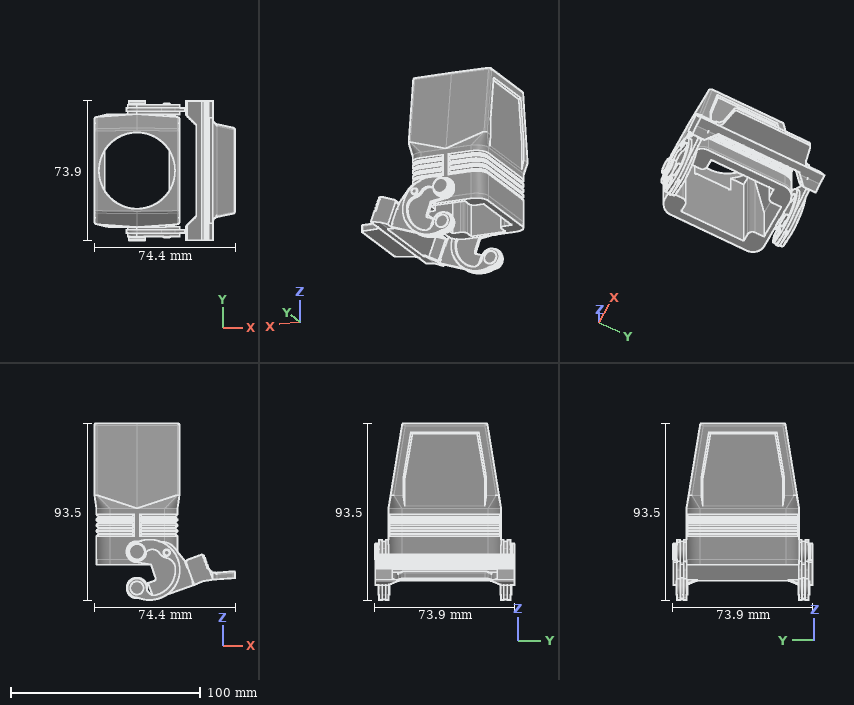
import cadquery as cq
import math

SKIRT_HALF_X = 21.5
SKIRT_HALF_Y = 29.8
SKIRT_CORNER_R = 7.0
SKIRT_TOP = 29.8
DRAFT_HEIGHT = 2.8
DRAFT_ANGLE = 3.0

GROOVE_COUNT = 4
GROOVE_BOTTOM = 14.85
GROOVE_PITCH = 2.97
GROOVE_FLOOR = 0.7
GROOVE_DEPTH = 0.95
GROOVE_FLANK_ANGLE = 45
GROOVES_TOP = GROOVE_BOTTOM + GROOVE_COUNT * GROOVE_PITCH
RIB_HALF_WIDTH = 1.45

HOOD_TOP = 74.8
HOOD_BOTTOM = 36.8
HOOD_HALF_X = 22.5
HOOD_FILLET = 1.3
CORNER_TOP_Y = 22.1
CORNER_BOTTOM_Y = 28.3

PANEL_DEPTH = 0.8
PANEL_BOTTOM = 31.0
PANEL_KNEE = 45.5
PANEL_TOP = 70.0
PANEL_HALF_TOP = 17.95
PANEL_HALF_BOTTOM = 22.0
PANEL_WALL = 0.9

BORE_R = 20.1
BORE_DEPTH = 20.0
ROOF_THICKNESS = 6.0
CAVITY_HALF_X = 17.0
CAVITY_HALF_Y = 18.6
CHANNEL_HALF_X = 9.8
CHANNEL_CORNER_R = 2.9
END_WALL = 2.5

CHEEK_INNER_Y = 29.6
MIDDLE_INNER_Y = 31.2
MIDDLE_OUTER_Y = 33.05
CHEEK_OUTER_Y = 34.8
PIVOT_Z = 6.9
KNOB_Z = -12.25
CHEEK_BOSS_R = 5.0
MIDDLE_BOSS_R = 5.6
ROLLER_R = 5.5
ROLLER_CLEARANCE = 0.25
HOOK_CENTER_X = 6.6
HOOK_CENTER_Z = -2.7
HOOK_OUTER_R = 16.0
HOOK_INNER_R = 13.7

CHEEK_KNOB_THROAT = (6.2, -14.6)
CHEEK_ARC_START = -80
CHEEK_ARC_MIDDLE = -40
CHEEK_SHOULDER = (19.2, 1.3)
CHEEK_RIVET_RIGHT = (16.0, 3.5)
CHEEK_RIVET_MIDDLE = (13.6, 4.4)
CHEEK_RIVET_LEFT = (11.6, 6.6)
CHEEK_PIVOT_HOLLOW = (8.4, 8.1)

ARM_TOP = (12.8, 12.2)
ARM_TOP_BEND = (16.8, 11.3)
ARM_TOP_END = (20.0, 8.7)
ARM_UPPER_TIP = (25.2, 2.2)
ARM_LOWER_TIP = (29.9, -10.8)
ARM_BOTTOM = (15.6, -15.9)
HOOK_BELLY = (11.3, -17.8)
HOOK_BOTTOM = (6.6, -18.4)
HOOK_HEEL = (8.0, -15.7)
HOOK_TIP = (5.7, -9.6)
MOUTH_FLOOR = (8.6, -8.6)
MOUTH_CORNER = (9.7, -7.9)
MOUTH_SIDE = (9.7, -6.8)
MOUTH_TOP = (7.3, 0.2)

PIN_TOP_Y = 36.95
PIN_HEAD_THICKNESS = 1.8
PIN_HEAD_R = 4.45
PIN_NECK_R = 3.6
PIN_CHAMFER = 0.4
RIVET_X = 15.7
RIVET_Z = 6.4
RIVET_R = 1.8
RIVET_HEIGHT = 0.65
KNOB_PIN_R = 3.5
KNOB_PIN_HEIGHT = 0.45

BAR_TILT = 20.0
BAR_CORNER_X = 30.2
BAR_CORNER_Z = -10.7
BAR_WIDTH = 10.3
BAR_HEIGHT = 13.8
BAR_HALF_Y = 36.8
BAR_CHAMFER = 1.0
BAR_TOE_DROP = 0.8
BAR_SOLE_RISE = 0.25
BAR_GROOVE_COUNT = 4
BAR_GROOVE_FIRST = 6.1
BAR_GROOVE_PITCH = 1.95
BAR_GROOVE_WIDTH = 1.0
BAR_GROOVE_DEPTH = 0.7
NOTCH_DEPTH = 6.1
NOTCH_HALF_OUTER = 29.6
NOTCH_HALF_INNER = 24.0
FLANGE = 0.8
TONGUE_BOTTOM = 2.0
TONGUE_HEIGHT = 8.0
TONGUE_START = -1.0
TONGUE_END = 3.0

GRIP_END_X = 51.87
GRIP_NECK_X = 42.0
GRIP_BASE_X = 40.0
GRIP_ROOT_X = 37.0
GRIP_ROOT_TOP_Z = -1.5
GRIP_BASE_TOP_Z = -4.0
GRIP_NECK_TOP_Z = -4.1
GRIP_END_TOP_Z = -3.3
GRIP_ROOT_SOLE_Z = -8.1
GRIP_BASE_SOLE_Z = -7.9
GRIP_END_SOLE_Z = -7.1
GRIP_BASE_HALF_Y = 27.8
GRIP_NECK_HALF_Y = 24.6
GRIP_FLARE_X = 40.7
GRIP_FLARE_HALF_Y = 25.5
GRIP_END_HALF_Y = 22.5
GRIP_CORNER_R = 1.6
GRIP_END_FILLET = 0.9


def both_ends(solid):
    """The solid together with its mirror image across the XZ plane."""
    return solid.union(solid.mirror("XZ"))


def rounded_rectangle(half_x, half_y, radius, z):
    sketch = cq.Sketch().rect(2 * half_x, 2 * half_y).vertices().fillet(radius)
    return cq.Workplane("XY", origin=(0, 0, z)).placeSketch(sketch)


def disc_y(x, z, radius, y_from, y_to):
    """Cylinder along Y."""
    plane = cq.Workplane("XZ", origin=(x, y_from, z))
    return plane.circle(radius).extrude(y_from - y_to)


def plate_y(outline, y_from, y_to):
    """Extrude an outline drawn in the XZ plane between two Y positions."""
    return outline.extrude(-(y_to - y_from)).translate((0, y_from, 0))


def corner_y(z):
    """Half length at the hood corners."""
    slope = (CORNER_BOTTOM_Y - CORNER_TOP_Y) / (HOOD_TOP - HOOD_BOTTOM)
    return CORNER_TOP_Y + slope * (HOOD_TOP - z)


def ridge_y(z):
    """Half length at the end ridges, which meet the skirt at its top edge."""
    return corner_y(z) + SKIRT_HALF_Y - corner_y(SKIRT_TOP)


def hexagon(z):
    """Cross-section of the hood: a rectangle with a shallow peak at each end."""
    return [
        (HOOD_HALF_X, corner_y(z)),
        (0, ridge_y(z)),
        (-HOOD_HALF_X, corner_y(z)),
        (-HOOD_HALF_X, -corner_y(z)),
        (0, -ridge_y(z)),
        (HOOD_HALF_X, -corner_y(z)),
    ]


def hexagon_loft(z_bottom, z_top):
    lower = cq.Workplane("XY", origin=(0, 0, z_bottom)).polyline(hexagon(z_bottom)).close()
    upper = lower.workplane(offset=z_top - z_bottom).polyline(hexagon(z_top)).close()
    return upper.loft(ruled=True)


def hood():
    body = hexagon_loft(HOOD_BOTTOM, HOOD_TOP)
    top = body.faces(">Z").edges()
    corners = body.edges().filter(is_hood_corner)
    return top.add(corners).fillet(HOOD_FILLET)


def is_hood_corner(edge):
    """True for the four upright corner edges of the hood."""
    middle = edge.Center()
    between_ends = HOOD_BOTTOM + HOOD_FILLET < middle.z < HOOD_TOP - HOOD_FILLET
    return between_ends and abs(middle.x) > HOOD_HALF_X - HOOD_FILLET


def transition():
    """Blend from the hood corners to the rounded skirt, with the end ridges running down to a point."""
    bottom = cq.Sketch().rect(2 * SKIRT_HALF_X, 2 * SKIRT_HALF_Y).vertices().fillet(SKIRT_CORNER_R)
    top = cq.Sketch().rect(2 * HOOD_HALF_X, 2 * CORNER_BOTTOM_Y).vertices().fillet(HOOD_FILLET)
    rise = HOOD_BOTTOM - SKIRT_TOP
    top = top.moved(cq.Location(cq.Vector(0, 0, rise)))
    plane = cq.Workplane("XY", origin=(0, 0, SKIRT_TOP))
    blend = plane.placeSketch(bottom, top).loft(ruled=True)
    triangle = [
        (-HOOD_HALF_X + HOOD_FILLET, HOOD_BOTTOM),
        (HOOD_HALF_X - HOOD_FILLET, HOOD_BOTTOM),
        (0, SKIRT_TOP),
    ]
    prism = cq.Workplane("XZ").polyline(triangle).close().extrude(2 * SKIRT_HALF_Y, both=True)
    return blend.union(hexagon_loft(SKIRT_TOP, HOOD_BOTTOM).intersect(prism))


def skirt():
    wall = rounded_rectangle(SKIRT_HALF_X, SKIRT_HALF_Y, SKIRT_CORNER_R, DRAFT_HEIGHT)
    body = wall.extrude(SKIRT_TOP - DRAFT_HEIGHT)
    foot = rounded_rectangle(SKIRT_HALF_X, SKIRT_HALF_Y, SKIRT_CORNER_R, DRAFT_HEIGHT)
    body = body.union(foot.extrude(-DRAFT_HEIGHT, taper=DRAFT_ANGLE))
    for index in range(GROOVE_COUNT):
        body = body.cut(groove(GROOVE_BOTTOM + (index + 0.5) * GROOVE_PITCH))
    return body.union(both_ends(groove_rib()))


def groove(z_middle):
    """Ring with 45 degree flanks and a narrow flat floor."""
    half_floor = GROOVE_FLOOR / 2
    half_x = SKIRT_HALF_X - GROOVE_DEPTH
    half_y = SKIRT_HALF_Y - GROOVE_DEPTH
    radius = SKIRT_CORNER_R - GROOVE_DEPTH
    height = GROOVE_FLOOR + 2 * GROOVE_DEPTH
    core = rounded_rectangle(half_x, half_y, radius, z_middle - half_floor).extrude(GROOVE_FLOOR)
    upper = rounded_rectangle(half_x, half_y, radius, z_middle + half_floor)
    core = core.union(upper.extrude(GROOVE_DEPTH, taper=-GROOVE_FLANK_ANGLE))
    lower = rounded_rectangle(half_x, half_y, radius, z_middle - half_floor)
    core = core.union(lower.extrude(-GROOVE_DEPTH, taper=-GROOVE_FLANK_ANGLE))
    block = cq.Workplane("XY", origin=(0, 0, z_middle))
    block = block.box(3 * SKIRT_HALF_X, 3 * SKIRT_HALF_Y, height)
    return block.cut(core)


def groove_rib():
    """Upright rib with sloping flanks that interrupts the grooves on an end face."""
    foot = RIB_HALF_WIDTH + GROOVE_DEPTH
    floor_y = SKIRT_HALF_Y - GROOVE_DEPTH
    outline = [
        (-foot, floor_y),
        (-RIB_HALF_WIDTH, SKIRT_HALF_Y),
        (RIB_HALF_WIDTH, SKIRT_HALF_Y),
        (foot, floor_y),
    ]
    plane = cq.Workplane("XY", origin=(0, 0, GROOVE_BOTTOM))
    return plane.polyline(outline).close().extrude(GROOVES_TOP - GROOVE_BOTTOM)


def panel_outline(inset):
    half_bottom = PANEL_HALF_BOTTOM - inset
    half_top = PANEL_HALF_TOP - inset
    return [
        (-half_bottom, PANEL_BOTTOM),
        (half_bottom, PANEL_BOTTOM),
        (half_bottom, PANEL_KNEE),
        (half_top, PANEL_TOP - inset),
        (-half_top, PANEL_TOP - inset),
        (-half_bottom, PANEL_KNEE),
    ]


def side_panel():
    """Shallow recess with sloping walls on the +X side."""
    floor = cq.Workplane("YZ", origin=(HOOD_HALF_X - PANEL_DEPTH, 0, 0))
    mouth = floor.polyline(panel_outline(PANEL_WALL)).close().workplane(offset=PANEL_DEPTH)
    return mouth.polyline(panel_outline(0)).close().loft(ruled=True)


def channel(half_x):
    """Cavity extension towards both ends; its end walls follow the taper of the hood."""
    roof = HOOD_TOP - ROOF_THICKNESS
    roof_y = corner_y(roof) - END_WALL
    base_y = corner_y(SKIRT_TOP) - END_WALL
    profile = [
        (-base_y, 0),
        (base_y, 0),
        (base_y, SKIRT_TOP),
        (roof_y, roof),
        (-roof_y, roof),
        (-base_y, SKIRT_TOP),
    ]
    return cq.Workplane("YZ").polyline(profile).close().extrude(half_x, both=True)


def channel_flares():
    """Rounded corners where the end channels open into the central cavity."""
    roof = HOOD_TOP - ROOF_THICKNESS
    half_wide = CHANNEL_HALF_X + CHANNEL_CORNER_R
    outer_y = CAVITY_HALF_Y + CHANNEL_CORNER_R
    flare = cq.Workplane("XY").rect(2 * half_wide, 2 * outer_y).extrude(roof)
    corners = [(sx * half_wide, sy * outer_y) for sx in (-1, 1) for sy in (-1, 1)]
    posts = cq.Workplane("XY").pushPoints(corners).circle(CHANNEL_CORNER_R).extrude(roof)
    return flare.cut(posts).intersect(channel(half_wide))


def cavity():
    roof = HOOD_TOP - ROOF_THICKNESS
    main = cq.Workplane("XY").rect(2 * CAVITY_HALF_X, 2 * CAVITY_HALF_Y).extrude(roof)
    bore = cq.Workplane("XY", origin=(0, 0, HOOD_TOP)).circle(BORE_R).extrude(-BORE_DEPTH)
    return main.union(channel(CHANNEL_HALF_X)).union(channel_flares()).union(bore)


def on_hook_circle(radius, degrees):
    angle = math.radians(degrees)
    return (HOOK_CENTER_X + radius * math.cos(angle), HOOK_CENTER_Z + radius * math.sin(angle))


def cheek_outline():
    """C-shaped hook running from the pivot boss round to the lower knob."""
    diagonal = CHEEK_BOSS_R * math.sqrt(0.5)
    return (
        cq.Workplane("XZ")
        .moveTo(0, PIVOT_Z + CHEEK_BOSS_R)
        .threePointArc(on_hook_circle(HOOK_OUTER_R, 0), (0, KNOB_Z - CHEEK_BOSS_R))
        .threePointArc((-diagonal, KNOB_Z + diagonal), (CHEEK_BOSS_R, KNOB_Z))
        .threePointArc(CHEEK_KNOB_THROAT, on_hook_circle(HOOK_INNER_R, CHEEK_ARC_START))
        .threePointArc(
            on_hook_circle(HOOK_INNER_R, CHEEK_ARC_MIDDLE),
            on_hook_circle(HOOK_INNER_R, 0),
        )
        .threePointArc(CHEEK_SHOULDER, CHEEK_RIVET_RIGHT)
        .threePointArc(CHEEK_RIVET_MIDDLE, CHEEK_RIVET_LEFT)
        .threePointArc(CHEEK_PIVOT_HOLLOW, (CHEEK_BOSS_R, PIVOT_Z))
        .threePointArc((-diagonal, PIVOT_Z - diagonal), (0, PIVOT_Z + CHEEK_BOSS_R))
        .close()
    )


def middle_outline():
    """Pivot boss, catch mouth and the arm that carries the bar."""
    return (
        cq.Workplane("XZ")
        .moveTo(0, PIVOT_Z + MIDDLE_BOSS_R)
        .lineTo(*ARM_TOP)
        .threePointArc(ARM_TOP_BEND, ARM_TOP_END)
        .lineTo(*ARM_UPPER_TIP)
        .lineTo(*ARM_LOWER_TIP)
        .lineTo(*ARM_BOTTOM)
        .threePointArc(HOOK_BELLY, HOOK_BOTTOM)
        .lineTo(*HOOK_HEEL)
        .lineTo(*HOOK_TIP)
        .lineTo(*MOUTH_FLOOR)
        .threePointArc(MOUTH_CORNER, MOUTH_SIDE)
        .lineTo(*MOUTH_TOP)
        .lineTo(0, PIVOT_Z - MIDDLE_BOSS_R)
        .threePointArc((-MIDDLE_BOSS_R, PIVOT_Z), (0, PIVOT_Z + MIDDLE_BOSS_R))
        .close()
    )


def pivot_pin():
    head_y = PIN_TOP_Y - PIN_HEAD_THICKNESS
    head = disc_y(0, PIVOT_Z, PIN_HEAD_R, head_y, PIN_TOP_Y).edges().chamfer(PIN_CHAMFER)
    return head.union(disc_y(0, PIVOT_Z, PIN_NECK_R, CHEEK_INNER_Y, head_y))


def lever():
    body = plate_y(cheek_outline(), CHEEK_INNER_Y, MIDDLE_INNER_Y)
    body = body.union(plate_y(middle_outline(), MIDDLE_INNER_Y, MIDDLE_OUTER_Y))
    body = body.union(plate_y(cheek_outline(), MIDDLE_OUTER_Y, CHEEK_OUTER_Y))
    roller_from = MIDDLE_INNER_Y + ROLLER_CLEARANCE
    roller_to = MIDDLE_OUTER_Y - ROLLER_CLEARANCE
    body = body.union(disc_y(0, KNOB_Z, ROLLER_R, roller_from, roller_to))
    pin_from = CHEEK_INNER_Y - KNOB_PIN_HEIGHT
    pin_to = CHEEK_OUTER_Y + KNOB_PIN_HEIGHT
    body = body.union(disc_y(0, KNOB_Z, KNOB_PIN_R, pin_from, pin_to))
    rivet = disc_y(RIVET_X, RIVET_Z, RIVET_R, CHEEK_INNER_Y, CHEEK_OUTER_Y + RIVET_HEIGHT)
    body = body.union(rivet.faces(">Y").edges().chamfer(PIN_CHAMFER))
    return body.union(pivot_pin())


def bar_pocket():
    """Hollow behind a sloping end of the notch, between the top and bottom flanges."""
    length = NOTCH_HALF_OUTER - NOTCH_HALF_INNER
    pocket = cq.Workplane("XY").box(NOTCH_DEPTH, length, BAR_HEIGHT - 2 * FLANGE, centered=False)
    return pocket.translate((0, NOTCH_HALF_INNER, FLANGE))


def bar_grooves():
    """Parallel finger grooves along the outer face."""
    centers = [
        (BAR_WIDTH, BAR_GROOVE_FIRST + index * BAR_GROOVE_PITCH)
        for index in range(BAR_GROOVE_COUNT)
    ]
    plane = cq.Workplane("XZ").pushPoints(centers)
    return plane.rect(2 * BAR_GROOVE_DEPTH, BAR_GROOVE_WIDTH).extrude(BAR_HALF_Y, both=True)


def lever_tongue():
    """Extension of a lever's middle plate that anchors it in the bar."""
    length = TONGUE_END - TONGUE_START
    thickness = MIDDLE_OUTER_Y - MIDDLE_INNER_Y
    tongue = cq.Workplane("XY").box(length, thickness, TONGUE_HEIGHT, centered=False)
    return tongue.translate((TONGUE_START, MIDDLE_INNER_Y, TONGUE_BOTTOM))


def bar():
    """Tilted bar, modelled upright at the origin and then turned into place."""
    profile = (
        cq.Workplane("XZ")
        .lineTo(BAR_WIDTH / 2, BAR_SOLE_RISE)
        .lineTo(BAR_WIDTH, -BAR_TOE_DROP)
        .lineTo(BAR_WIDTH, BAR_HEIGHT - BAR_CHAMFER)
        .lineTo(BAR_WIDTH - BAR_CHAMFER, BAR_HEIGHT)
        .lineTo(BAR_CHAMFER, BAR_HEIGHT)
        .lineTo(0, BAR_HEIGHT - BAR_CHAMFER)
        .close()
    )
    solid = profile.extrude(BAR_HALF_Y, both=True)
    notch_outline = [
        (0, -NOTCH_HALF_OUTER),
        (NOTCH_DEPTH, -NOTCH_HALF_INNER),
        (NOTCH_DEPTH, NOTCH_HALF_INNER),
        (0, NOTCH_HALF_OUTER),
    ]
    notch = cq.Workplane("XY").polyline(notch_outline).close().extrude(BAR_HEIGHT, both=True)
    solid = solid.cut(notch).cut(both_ends(bar_pocket())).cut(bar_grooves())
    solid = solid.union(both_ends(lever_tongue()))
    solid = solid.rotate((0, 0, 0), (0, 1, 0), -BAR_TILT)
    return solid.translate((BAR_CORNER_X, 0, BAR_CORNER_Z))


def thumb_grip():
    """Slightly rising slab whose sides flare out where it joins the bar."""
    profile = [
        (GRIP_ROOT_X, GRIP_ROOT_SOLE_Z),
        (GRIP_BASE_X, GRIP_BASE_SOLE_Z),
        (GRIP_END_X, GRIP_END_SOLE_Z),
        (GRIP_END_X, GRIP_END_TOP_Z),
        (GRIP_NECK_X, GRIP_NECK_TOP_Z),
        (GRIP_BASE_X, GRIP_BASE_TOP_Z),
        (GRIP_ROOT_X, GRIP_ROOT_TOP_Z),
    ]
    slab = cq.Workplane("XZ").polyline(profile).close().extrude(BAR_HALF_Y, both=True)
    outline = (
        cq.Workplane("XY")
        .moveTo(GRIP_ROOT_X, -GRIP_BASE_HALF_Y)
        .lineTo(GRIP_BASE_X, -GRIP_BASE_HALF_Y)
        .threePointArc((GRIP_FLARE_X, -GRIP_FLARE_HALF_Y), (GRIP_NECK_X, -GRIP_NECK_HALF_Y))
        .lineTo(GRIP_END_X, -GRIP_END_HALF_Y)
        .lineTo(GRIP_END_X, GRIP_END_HALF_Y)
        .lineTo(GRIP_NECK_X, GRIP_NECK_HALF_Y)
        .threePointArc((GRIP_FLARE_X, GRIP_FLARE_HALF_Y), (GRIP_BASE_X, GRIP_BASE_HALF_Y))
        .lineTo(GRIP_ROOT_X, GRIP_BASE_HALF_Y)
        .close()
    )
    plan = outline.extrude(BAR_HEIGHT, both=True).edges("|Z and >X").fillet(GRIP_CORNER_R)
    return slab.intersect(plan).faces(">X").edges(">Z").fillet(GRIP_END_FILLET)


panel = side_panel()
shell = hood().union(transition()).union(skirt())
shell = shell.cut(panel).cut(panel.mirror("YZ")).cut(cavity())
result = shell.union(both_ends(lever())).union(bar()).union(thumb_grip())